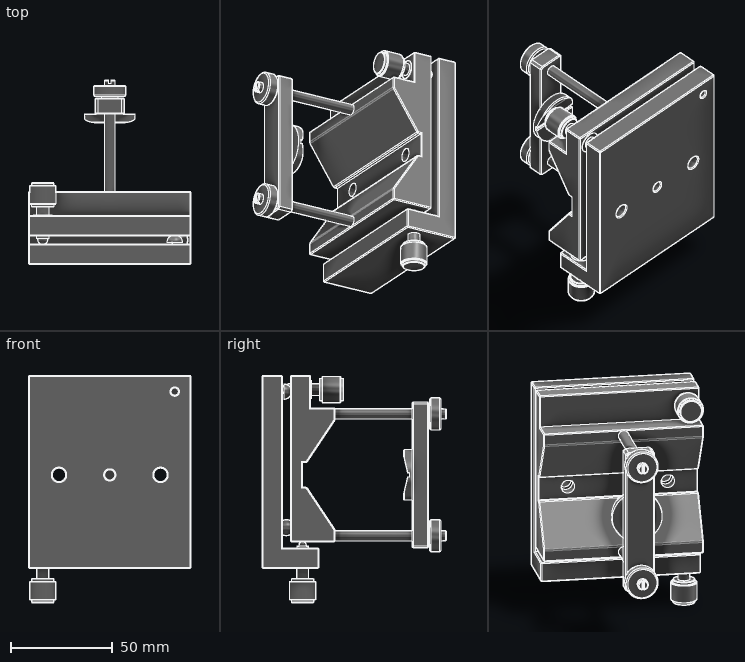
import cadquery as cq
import math


width = 80.0
height = 95.0
plate_thickness = 10.0
foot_length = 28.0
edge_break = 0.5
overlap = 1.0

plate_gap = 4.0
foot_gap = 3.0
block_front = plate_thickness + plate_gap
block_back = block_front + plate_thickness
block_bottom = plate_thickness + foot_gap
jaw_top = 79.0
jaw_back = 36.0
jaw_lip = 6.0
notch_floor = 20.0
notch_mouth = 22.0
notch_half_height = 6.0
jaw_mid = (block_bottom + jaw_top) / 2

mount_hole_offset = 25.0
mount_hole_diameter = 6.6
centre_hole_diameter = 5.0
spring_hole_diameter = 3.6
spring_hole_inset = 8.0
hole_break = 0.5

bar_front = 74.0
bar_thickness = 8.0
bar_width = 14.4
bar_length = 72.0
bar_corner = 1.4
bar_end_corner = 1.0
bar_edge_break = 0.5
bar_back = bar_front + bar_thickness
pad_diameter = 25.0
pad_thickness = 4.4
pad_rim_break = 0.6
pad_slit_width = 2.0
pad_slit_depth = 3.0
pad_groove_depth = 2.1
pad_groove_half_height = 10.0

stud_offset = 30.0
stud_diameter = 5.2
stud_tip = 90.87
stud_tip_break = 0.5
slot_width = 1.0
slot_depth = 1.7
nut_collar_diameter = 8.2
nut_start = 82.6
nut_diameter = 16.0
nut_thickness = 5.6
nut_break = 0.7

adjuster_inset = 7.0
screw_diameter = 6.0
block_head_standoff = 4.2
foot_head_standoff = 5.03
head_diameter = 13.0
head_length = 12.0
head_shoulder_diameter = 11.0
head_shoulder_length = 1.4
head_break = 0.3
bushing_diameter = 9.0
bushing_height = 0.3
screw_recess_diameter = 10.5
screw_recess_depth = 0.2
block_screw_end = 1.3
block_screw_tip_radius = 2.5
block_screw_tip_centre = 1.7
foot_screw_y = 20.0
foot_screw_end_diameter = 5.7
foot_screw_end = 0.9
foot_screw_tip_radius = 1.8
foot_screw_tip_centre = 1.4

pivot_radius = 4.0
pivot_inset = 5.5
pivot_height = 20.0
spring_seat_radius = 3.8
spring_seat_gap = 0.8


def extruded_plate(outline, inner_corners):
    """Extrude a Y-Z outline across the width and break every outward edge."""
    plate = cq.Workplane("YZ").polyline(outline).close().extrude(width / 2, both=True)

    def is_outward(edge):
        middle = edge.Center()
        return all(math.dist((middle.y, middle.z), corner) > edge_break for corner in inner_corners)

    ends = plate.faces("<X or >X").edges()
    long_edges = plate.edges("|X").filter(is_outward)
    return ends.add(long_edges).chamfer(edge_break)


def along_y(diameter, start, end, x, z):
    """Round bar parallel to Y."""
    radius = diameter / 2
    rod = cq.Solid.makeCylinder(radius, end - start, cq.Vector(x, start, z), cq.Vector(0, 1, 0))
    return cq.Workplane(rod)


def ball(radius, x, y, z):
    return cq.Workplane("XY").sphere(radius).translate((x, y, z))


def base_plate():
    outline = [
        (0, 0),
        (foot_length, 0),
        (foot_length, plate_thickness),
        (plate_thickness, plate_thickness),
        (plate_thickness, height),
        (0, height),
    ]
    return extruded_plate(outline, [(plate_thickness, plate_thickness)])


def v_block():
    outline = [
        (block_front, block_bottom),
        (jaw_back, block_bottom),
        (jaw_back, block_bottom + jaw_lip),
        (notch_mouth, jaw_mid - notch_half_height),
        (notch_floor, jaw_mid - notch_half_height),
        (notch_floor, jaw_mid + notch_half_height),
        (notch_mouth, jaw_mid + notch_half_height),
        (jaw_back, jaw_top - jaw_lip),
        (jaw_back, jaw_top),
        (block_back, jaw_top),
        (block_back, height),
        (block_front, height),
    ]
    inner_corners = [
        (notch_floor, jaw_mid - notch_half_height),
        (notch_floor, jaw_mid + notch_half_height),
        (block_back, jaw_top),
    ]
    return extruded_plate(outline, inner_corners)


def countersunk_hole(diameter, x, z, depth):
    """Cutter for a hole entering the outer face of the base, with a broken rim."""
    rim = cq.Solid.makeCone(
        diameter / 2 + hole_break, diameter / 2, hole_break, cq.Vector(x, 0, z), cq.Vector(0, 1, 0)
    )
    return along_y(diameter, 0, depth, x, z).union(cq.Workplane(rim))


def block_screw_recess():
    """Cutter for the shallow seat around the screw on the front face of the V-block."""
    x = -width / 2 + adjuster_inset
    z = height - adjuster_inset
    return along_y(screw_recess_diameter, block_front, block_front + screw_recess_depth, x, z)


def foot_screw_recess():
    """Cutter for the shallow seat around the screw on the upper face of the foot."""
    x = -width / 2 + adjuster_inset
    bottom = plate_thickness - screw_recess_depth
    return (
        cq.Workplane("XY", origin=(x, foot_screw_y, bottom))
        .circle(screw_recess_diameter / 2)
        .extrude(screw_recess_depth)
    )


def clamp_bar():
    bar = (
        cq.Workplane("XY")
        .box(bar_width, bar_thickness, bar_length)
        .edges("|Y")
        .chamfer(bar_end_corner, bar_corner)
        .faces("<Y or >Y")
        .edges()
        .chamfer(bar_edge_break)
    )
    return bar.translate((0, bar_front + bar_thickness / 2, jaw_mid))


def clamp_pad():
    """Round pad with a shallow V groove along X and a narrow slit at its root."""
    pad_face = bar_front - pad_thickness
    pad = along_y(pad_diameter, pad_face, bar_front, 0, jaw_mid)
    pad = pad.faces("<Y").edges().chamfer(pad_rim_break)
    slit_half = pad_slit_width / 2
    groove = (
        cq.Workplane("YZ")
        .moveTo(pad_face, jaw_mid - pad_groove_half_height)
        .lineTo(pad_face + pad_groove_depth, jaw_mid - slit_half)
        .lineTo(pad_face + pad_slit_depth, jaw_mid - slit_half)
        .lineTo(pad_face + pad_slit_depth, jaw_mid + slit_half)
        .lineTo(pad_face + pad_groove_depth, jaw_mid + slit_half)
        .lineTo(pad_face, jaw_mid + pad_groove_half_height)
        .close()
        .extrude(pad_diameter, both=True)
    )
    return pad.cut(groove)


def stud_and_nut(z):
    stud = along_y(stud_diameter, jaw_back - overlap, stud_tip, 0, z)
    stud = stud.faces(">Y").edges().chamfer(stud_tip_break)
    slot = cq.Workplane("XY").box(slot_width, 2 * slot_depth, 2 * stud_diameter).translate((0, stud_tip, z))
    collar = along_y(nut_collar_diameter, bar_back, nut_start, 0, z)
    nut = along_y(nut_diameter, nut_start, nut_start + nut_thickness, 0, z)
    nut = nut.edges().chamfer(nut_break)
    return stud.cut(slot).union(collar).union(nut)


def adjuster_head(standoff):
    """Thumb head on its neck, along +Z from a plate face at Z = 0."""
    neck = cq.Workplane("XY").circle(screw_diameter / 2).extrude(standoff + overlap)
    shoulders = (
        cq.Workplane("XY", origin=(0, 0, standoff))
        .circle(head_shoulder_diameter / 2)
        .extrude(head_length)
        .edges()
        .chamfer(head_break)
    )
    grip = (
        cq.Workplane("XY", origin=(0, 0, standoff + head_shoulder_length))
        .circle(head_diameter / 2)
        .extrude(head_length - 2 * head_shoulder_length)
        .edges()
        .chamfer(head_break)
    )
    return neck.union(shoulders).union(grip)


def block_adjuster():
    """Screw through the top of the V-block, bearing on the base plate."""
    x = -width / 2 + adjuster_inset
    z = height - adjuster_inset
    end = block_front - block_screw_end
    head = adjuster_head(block_head_standoff).rotate((0, 0, 0), (1, 0, 0), -90).translate((x, block_back, z))
    bushing = along_y(bushing_diameter, block_back, block_back + bushing_height, x, z)
    screw = along_y(screw_diameter, end, block_front + overlap, x, z)
    tip = ball(block_screw_tip_radius, x, block_front - block_screw_tip_centre, z)
    return head.union(bushing).union(screw).union(tip)


def foot_adjuster():
    """Screw up through the foot, bearing on the underside of the V-block."""
    x = -width / 2 + adjuster_inset
    y = foot_screw_y
    head = adjuster_head(foot_head_standoff).rotate((0, 0, 0), (1, 0, 0), 180).translate((x, y, 0))
    screw = (
        cq.Workplane("XY", origin=(x, y, plate_thickness - overlap))
        .circle(foot_screw_end_diameter / 2)
        .extrude(overlap + foot_screw_end)
    )
    tip = ball(foot_screw_tip_radius, x, y, plate_thickness + foot_screw_tip_centre)
    return head.union(screw).union(tip)


def pivot_ball():
    return ball(pivot_radius, width / 2 - pivot_inset, plate_thickness + plate_gap / 2, pivot_height)


def spring_seat():
    """Domed seat on the V-block, its flat side facing the base plate."""
    x = width / 2 - spring_hole_inset
    z = height - spring_hole_inset
    flat = plate_thickness + spring_seat_gap
    front_limit = along_y(2 * spring_seat_radius, flat, flat + spring_seat_radius, x, z)
    return ball(spring_seat_radius, x, flat, z).intersect(front_limit)


result = base_plate().union(v_block())
for side in (-1, 1):
    result = result.cut(countersunk_hole(mount_hole_diameter, side * mount_hole_offset, jaw_mid, block_back))
result = result.cut(countersunk_hole(centre_hole_diameter, 0, jaw_mid, plate_thickness))
result = result.cut(
    countersunk_hole(
        spring_hole_diameter, width / 2 - spring_hole_inset, height - spring_hole_inset, plate_thickness
    )
)
result = result.cut(block_screw_recess()).cut(foot_screw_recess())
for part in (pivot_ball(), spring_seat(), block_adjuster(), foot_adjuster(), clamp_bar(), clamp_pad()):
    result = result.union(part)
for side in (-1, 1):
    result = result.union(stud_and_nut(jaw_mid + side * stud_offset))